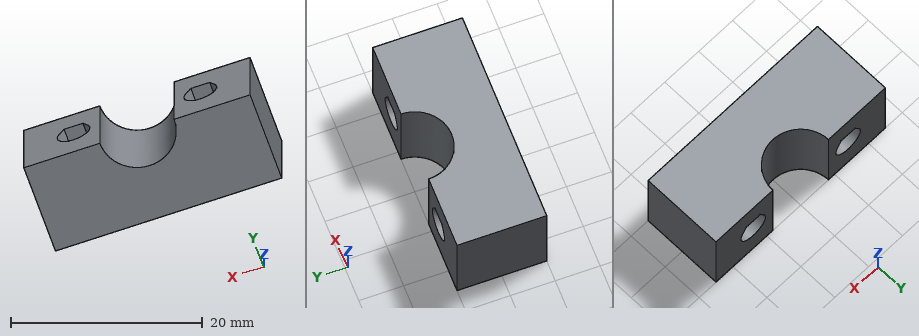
import cadquery as cq
import math

length = 25
depth = 10
height = 10

saddle_radius = 4.1

hole_radius = 1.8
hole_spacing = 14
roof_slope = math.radians(60)


def teardrop_hole(center_x):
    """Round hole whose tangent roof sides are cut flat at the top of the circle."""
    tangent_x = hole_radius * math.sin(roof_slope)
    tangent_z = hole_radius * math.cos(roof_slope)
    roof_half_width = hole_radius * math.tan(roof_slope / 2)
    return (
        cq.Workplane("XZ", origin=(center_x, 0, 0))
        .moveTo(-tangent_x, tangent_z)
        .threePointArc((0, -hole_radius), (tangent_x, tangent_z))
        .lineTo(roof_half_width, hole_radius)
        .lineTo(-roof_half_width, hole_radius)
        .close()
        .extrude(depth / 2, both=True)
    )


block = cq.Workplane("XY").box(length, depth, height)
saddle = (
    cq.Workplane("XY", origin=(0, depth / 2, 0))
    .circle(saddle_radius)
    .extrude(height / 2, both=True)
)

result = block.cut(saddle)
for side in (-1, 1):
    result = result.cut(teardrop_hole(side * hole_spacing / 2))